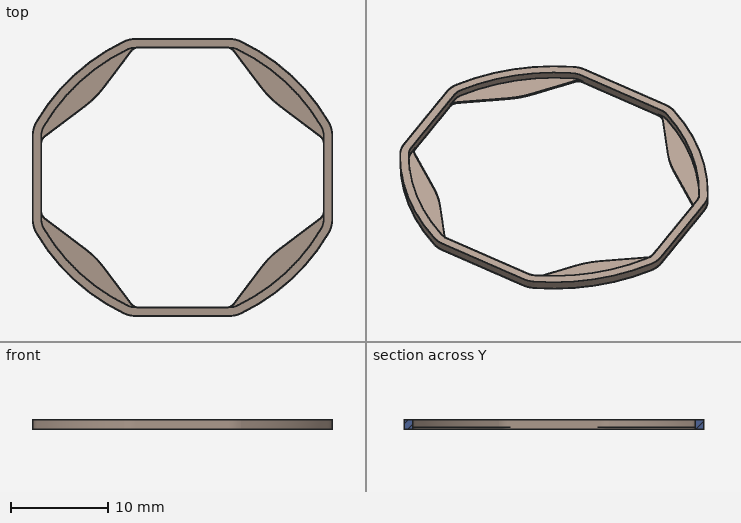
import cadquery as cq
import math

length_x = 30.8
length_y = 28.5
height = 1.0
wall = 0.9

flat_half_x = 5.42
flat_half_y = 5.02
corner_bow = 1.15
blend_radius = 2.77

tab_thickness = 0.2
tab_end_x = 5.0
tab_end_y = 3.95
tab_peak_x = 8.9
tab_peak_y = 8.15
tab_peak_radius = 9.25
tab_end_radius = 0.92

half_x = length_x / 2
half_y = length_y / 2
quadrants = [(1, 1), (-1, 1), (-1, -1), (1, -1)]


def bow_point(x_sign, y_sign):
    """Middle of a corner arc, raised outward from the middle of its chord."""
    run = half_x - flat_half_x
    rise = half_y - flat_half_y
    chord = math.hypot(run, rise)
    x = (half_x + flat_half_x) / 2 + corner_bow * rise / chord
    y = (half_y + flat_half_y) / 2 + corner_bow * run / chord
    return x_sign * x, y_sign * y


def make_body():
    """Solid plate with the outer outline of the ring."""
    outline = cq.Workplane("XY").moveTo(half_x, -flat_half_y)
    for x_sign, y_sign in quadrants:
        side_x_end = (x_sign * half_x, y_sign * flat_half_y)
        side_y_end = (x_sign * flat_half_x, y_sign * half_y)
        if x_sign == y_sign:
            start, end = side_x_end, side_y_end
        else:
            start, end = side_y_end, side_x_end
        outline = outline.lineTo(*start).threePointArc(bow_point(x_sign, y_sign), end)
    return outline.close().extrude(height).edges("|Z").fillet(blend_radius)


def make_cavity(body):
    """Space inside the wall, above the tabs."""
    inner_outline = body.faces("<Z").wires().val().offset2D(-wall)[0]
    cavity = cq.Workplane("XY").add(inner_outline).toPending().extrude(height)
    return cavity.translate((0, 0, tab_thickness))


def make_opening():
    """Through opening bounded by the side walls and the tab edges."""
    inner_x = half_x - wall
    inner_y = half_y - wall
    points = []
    for x_sign, y_sign in quadrants:
        corner = [(inner_x, tab_end_y), (tab_peak_x, tab_peak_y), (tab_end_x, inner_y)]
        if x_sign != y_sign:
            corner.reverse()
        points += [(x_sign * x, y_sign * y) for x, y in corner]
    opening = cq.Workplane("XY").polyline(points).close().extrude(height)

    peaks = cq.selectors.BoxSelector(
        (-inner_x + wall, -inner_y + wall, 0), (inner_x - wall, inner_y - wall, height)
    )
    ends = cq.selectors.InverseSelector(peaks)
    opening = opening.edges("|Z").edges(ends).fillet(tab_end_radius)
    return opening.edges("|Z").edges(peaks).fillet(tab_peak_radius)


body = make_body()
result = body.cut(make_cavity(body)).cut(make_opening())